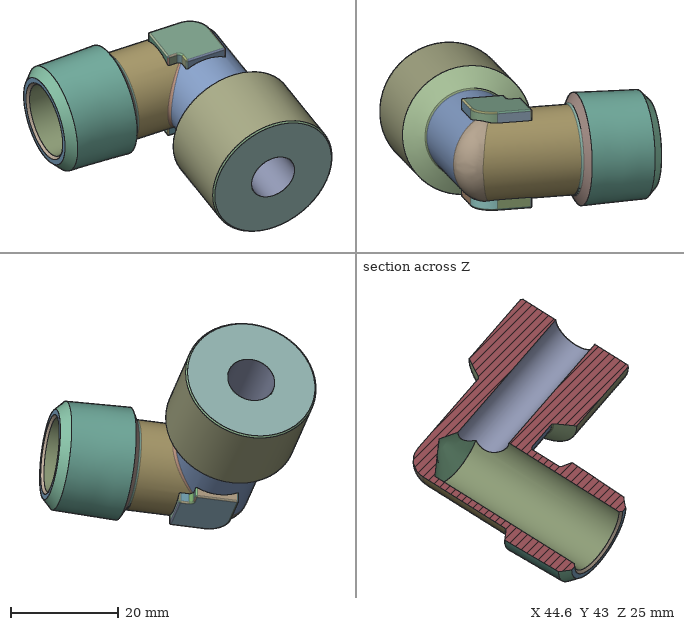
import math

import cadquery as cq

BODY_RADIUS = 8.5
OUTER_CORNER_RADIUS = 4.5
INNER_CORNER_RADIUS = 0.5
MITRE_CLEARANCE = 2.0
NECK_FILLET = 0.5
SHOULDER_ANGLE = math.radians(60)

SPIGOT_END = 30.5
SPIGOT_LENGTH = 14.0
SPIGOT_RADIUS = 10.63
SPIGOT_TAPER = 1 / 32
SPIGOT_CHAMFER = 1.75

SOCKET_END = 34.0
SOCKET_LENGTH = 16.5
SOCKET_RADIUS = 12.5
SOCKET_CHAMFER = 0.3

SPIGOT_BORE_RADIUS = 7.0
SPIGOT_BORE_CHAMFER = 0.5
SPIGOT_BORE_TIP_Y = 6.45
DRILL_HALF_ANGLE = math.radians(59)
CROSS_BORE_RADIUS = 4.5
CROSS_BORE_END_X = -3.4

PAD_FACE = 9.55
PAD_CORNER_RADIUS = 4.1
PAD_REACH = 6.7
PAD_NOTCH = 4.1
PAD_NOTCH_FILLET = 0.7
PAD_EDGE_FILLET = 0.3


def shoulder_base(collar_start, collar_radius):
    """Distance along the arm at which the conical shoulder leaves the body."""
    return collar_start - (collar_radius - BODY_RADIUS) / math.tan(SHOULDER_ANGLE)


SPIGOT_START = SPIGOT_END - SPIGOT_LENGTH
SOCKET_START = SOCKET_END - SOCKET_LENGTH
SPIGOT_NECK = shoulder_base(SPIGOT_START, SPIGOT_RADIUS)
SOCKET_NECK = shoulder_base(SOCKET_START, SOCKET_RADIUS)


def pads():
    """L-shaped pads on the top and bottom of the corner, as one block through the body."""
    diagonal = PAD_CORNER_RADIUS * math.sqrt(0.5)
    block = (
        cq.Workplane("XY")
        .moveTo(-PAD_CORNER_RADIUS, 0)
        .threePointArc((-diagonal, diagonal), (0, PAD_CORNER_RADIUS))
        .lineTo(PAD_REACH, PAD_CORNER_RADIUS)
        .lineTo(PAD_REACH, -PAD_NOTCH)
        .lineTo(PAD_NOTCH, -PAD_NOTCH)
        .lineTo(PAD_NOTCH, -PAD_REACH)
        .lineTo(-PAD_CORNER_RADIUS, -PAD_REACH)
        .close()
        .extrude(PAD_FACE, both=True)
    )
    notch_corner = cq.selectors.NearestToPointSelector((PAD_NOTCH, -PAD_NOTCH, 0))
    block = block.edges("|Z").edges(notch_corner).fillet(PAD_NOTCH_FILLET)
    square_corners = (
        (PAD_REACH, PAD_CORNER_RADIUS),
        (PAD_REACH, -PAD_NOTCH),
        (PAD_NOTCH, -PAD_REACH),
        (-PAD_CORNER_RADIUS, -PAD_REACH),
    )
    for x, y in square_corners:
        corner = cq.selectors.NearestToPointSelector((x, y, 0))
        block = block.edges("|Z").edges(corner).fillet(PAD_EDGE_FILLET)
    return block.faces("<Z or >Z").edges().fillet(PAD_EDGE_FILLET)


def rounded_corner(body, x_side, y_side, radius):
    """One quadrant of the body with its mitre edges filleted.

    The quadrant stops short of the Z axis, where the two arms blend smoothly and the mitre
    edges vanish. The missing wedge lies inside the arms and the pads.
    """
    size = 2 * SOCKET_END
    quadrant = cq.Workplane("XY").box(size, size, size).translate((x_side * size / 2, y_side * size / 2, 0))
    axis_region = (
        cq.Workplane("XY")
        .box(2 * MITRE_CLEARANCE, 2 * MITRE_CLEARANCE, size)
        .rotate((0, 0, 0), (0, 0, 1), 45)
    )
    corner = body.intersect(quadrant).cut(axis_region)
    mitre_tip = cq.selectors.NearestToPointSelector((x_side * BODY_RADIUS, y_side * BODY_RADIUS, 0))
    mitre_edges = corner.vertices(mitre_tip).ancestors("Edge").edges("%ELLIPSE")
    return mitre_edges.fillet(radius)


def arms_with_pads():
    """Two equal cylinders meeting at the origin, the pads, and both sides of the mitre rounded."""
    arms = (
        cq.Workplane("XZ").circle(BODY_RADIUS).extrude(SPIGOT_NECK)
        .union(cq.Workplane("YZ").circle(BODY_RADIUS).extrude(SOCKET_NECK))
    )
    crossing = (
        cq.Workplane("XZ").circle(BODY_RADIUS).extrude(BODY_RADIUS, both=True)
        .intersect(cq.Workplane("YZ").circle(BODY_RADIUS).extrude(BODY_RADIUS, both=True))
    )
    outer_corner = rounded_corner(crossing, -1, 1, OUTER_CORNER_RADIUS)
    inner_corner = rounded_corner(arms, 1, -1, INNER_CORNER_RADIUS)
    return arms.union(pads()).union(outer_corner).union(inner_corner)


def neck_profile(neck):
    """Half profile, as (radius, distance), from the axis to the end of the neck fillet.

    The fillet is tangent to the body and to the shoulder cone.
    """
    tangent_length = NECK_FILLET * math.tan(SHOULDER_ANGLE / 2)
    centre_radius = BODY_RADIUS + NECK_FILLET
    fillet_start = neck - tangent_length

    def fillet_point(angle):
        return (
            centre_radius - NECK_FILLET * math.cos(angle),
            fillet_start + NECK_FILLET * math.sin(angle),
        )

    return (
        cq.Workplane("XY")
        .moveTo(0, fillet_start)
        .lineTo(BODY_RADIUS, fillet_start)
        .threePointArc(fillet_point(SHOULDER_ANGLE / 2), fillet_point(SHOULDER_ANGLE))
    )


def revolve_about_arm(profile):
    """Revolve a (radius, distance) half profile around the +Y axis."""
    return profile.close().revolve(360, (0, 0, 0), (0, 1, 0))


def spigot_collar():
    chamfer_start = SPIGOT_END - SPIGOT_CHAMFER
    small_radius = SPIGOT_RADIUS - SPIGOT_TAPER * (chamfer_start - SPIGOT_START)
    profile = (
        neck_profile(SPIGOT_NECK)
        .lineTo(SPIGOT_RADIUS, SPIGOT_START)
        .lineTo(small_radius, chamfer_start)
        .lineTo(small_radius - SPIGOT_CHAMFER, SPIGOT_END)
        .lineTo(0, SPIGOT_END)
    )
    return revolve_about_arm(profile).rotate((0, 0, 0), (0, 0, 1), 180)


def socket_collar():
    profile = (
        neck_profile(SOCKET_NECK)
        .lineTo(SOCKET_RADIUS, SOCKET_START)
        .lineTo(SOCKET_RADIUS, SOCKET_END - SOCKET_CHAMFER)
        .lineTo(SOCKET_RADIUS - SOCKET_CHAMFER, SOCKET_END)
        .lineTo(0, SOCKET_END)
    )
    return revolve_about_arm(profile).rotate((0, 0, 0), (0, 0, 1), -90)


def spigot_bore():
    """Drilled blind hole along the spigot, with a conical tip and a chamfered mouth."""
    tip_length = SPIGOT_BORE_RADIUS / math.tan(DRILL_HALF_ANGLE)
    return (
        cq.Workplane("XY")
        .moveTo(0, -SPIGOT_END)
        .lineTo(SPIGOT_BORE_RADIUS + SPIGOT_BORE_CHAMFER, -SPIGOT_END)
        .lineTo(SPIGOT_BORE_RADIUS, -SPIGOT_END + SPIGOT_BORE_CHAMFER)
        .lineTo(SPIGOT_BORE_RADIUS, SPIGOT_BORE_TIP_Y - tip_length)
        .lineTo(0, SPIGOT_BORE_TIP_Y)
        .close()
        .revolve(360, (0, 0, 0), (0, 1, 0))
    )


def cross_bore():
    """Straight hole from the socket face to just beyond the spigot axis."""
    return (
        cq.Workplane("YZ")
        .workplane(offset=CROSS_BORE_END_X)
        .circle(CROSS_BORE_RADIUS)
        .extrude(SOCKET_END - CROSS_BORE_END_X)
    )


body = arms_with_pads().union(spigot_collar()).union(socket_collar())
result = body.cut(spigot_bore()).cut(cross_bore())